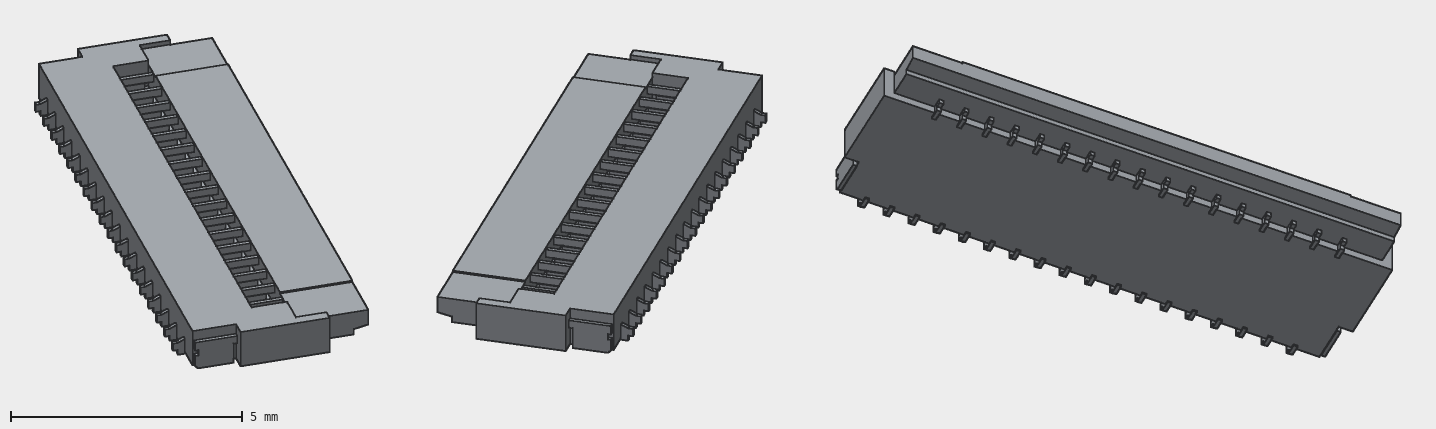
import cadquery as cq


length = 12.1
depth = 4.2
height = 0.91

housing_bottom = 0.04
housing_front_y = 0.27
housing_width = 11.42
ear_front_y = 1.25
ear_back_y = 3.25

tab_outer_x = 5.81
tab_front_y = 0.3
tab_top = 0.67
tab_relief_y = 1.16
tab_relief_top = 0.48
tab_notch_depth = 0.07
tab_notch_bottom = 0.33
tab_notch_top = 0.46
tab_corner = 0.06

flap_width = 2 * tab_outer_x
flap_front_y = 2.57
flap_end_top = 0.8
flap_middle_top = 0.83
flap_middle_width = 9.25
flap_bottom = 0.23
flap_step_y = 3.87
flap_step_top = 0.36
flap_tip_bottom = 0.42

front_count = 18
back_count = front_count - 1
contact_span = 10.2
pitch = contact_span / (front_count - 1)
contact_width = 0.1

front_root_top = 0.38
front_tip_top = 0.3
front_tip_bottom = 0.12
front_shoulder_y = 0.1
front_foot_y = 0.11
foot_length = 0.27

back_tip_y = 3.5
back_tip_bottom = 0.12
back_foot_y = 3.38

window_width = contact_span + contact_width
window_front_y = 1.77
window_floor = 0.27
back_beam_top = 0.79
back_beam_bottom = 0.6
front_beam_top = 0.42
front_beam_end_y = 2.46


def block(width, y_front, y_back, z_bottom, z_top):
    """Box centred on X = 0 between the given Y and Z limits."""
    return cq.Workplane("XY").box(
        width, y_back - y_front, z_top - z_bottom, centered=(True, False, False)
    ).translate((0, y_front, z_bottom))


def prism(yz_points, width, x_centre=0.0):
    """Side outline in Y and Z, extruded along X about x_centre."""
    outline = cq.Workplane("YZ").polyline(yz_points).close()
    return outline.extrude(width / 2, both=True).translate((x_centre, 0, 0))


def row(count):
    """X positions of a centred row of contacts."""
    return [(i - (count - 1) / 2) * pitch for i in range(count)]


def make_housing():
    front = block(housing_width, housing_front_y, ear_back_y, housing_bottom, height)
    ears = block(length, ear_front_y, ear_back_y, housing_bottom, height)
    flap_recess = block(flap_width, flap_front_y, ear_back_y, flap_end_top, height)
    return front.union(ears).cut(flap_recess)


def make_flap():
    ends = prism(
        [
            (flap_front_y, flap_bottom),
            (flap_step_y, flap_bottom),
            (flap_step_y, flap_step_top),
            (depth, flap_tip_bottom),
            (depth, flap_end_top),
            (flap_front_y, flap_end_top),
        ],
        flap_width,
    )
    middle = block(flap_middle_width, flap_front_y, depth, flap_end_top, flap_middle_top)
    return ends.union(middle)


def make_tabs():
    """Both end tabs: one profile across the full width, whose middle lies inside the housing."""
    notch_y = tab_front_y + tab_notch_depth
    return prism(
        [
            (tab_front_y + tab_corner, 0),
            (tab_relief_y, 0),
            (tab_relief_y, tab_relief_top),
            (ear_front_y, tab_relief_top),
            (ear_front_y, tab_top),
            (tab_front_y, tab_top),
            (tab_front_y, tab_notch_top),
            (notch_y, tab_notch_top),
            (notch_y, tab_notch_bottom),
            (tab_front_y, tab_notch_bottom),
            (tab_front_y, tab_corner),
        ],
        flap_width,
    ).cut(block(housing_width, 0, depth, 0, housing_bottom))


def front_foot(x):
    foot_back_y = front_foot_y + foot_length
    return prism(
        [
            (front_foot_y, 0),
            (foot_back_y, 0),
            (foot_back_y, front_root_top),
            (housing_front_y, front_root_top),
            (front_shoulder_y, front_tip_top),
            (0, front_tip_top),
            (0, front_tip_bottom),
            (front_foot_y, front_tip_bottom),
        ],
        contact_width,
        x,
    )


def back_foot(x):
    foot_front_y = back_foot_y - foot_length
    return prism(
        [
            (foot_front_y, 0),
            (back_foot_y, 0),
            (back_foot_y, back_tip_bottom),
            (back_tip_y, back_tip_bottom),
            (back_tip_y, flap_bottom),
            (foot_front_y, flap_bottom),
        ],
        contact_width,
        x,
    )


result = make_housing().union(make_flap()).union(make_tabs())
result = result.cut(block(window_width, window_front_y, flap_front_y, window_floor, height))

for x in row(front_count):
    beam = block(contact_width, window_front_y, front_beam_end_y, window_floor, front_beam_top)
    result = result.union(beam.translate((x, 0, 0))).union(front_foot(x))

for x in row(back_count):
    beam = block(contact_width, window_front_y, flap_front_y, back_beam_bottom, back_beam_top)
    result = result.union(beam.translate((x, 0, 0))).union(back_foot(x))